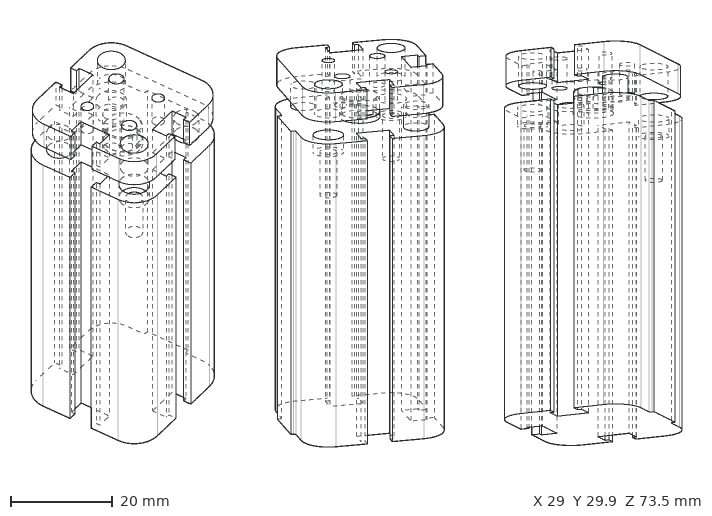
import cadquery as cq

total_height = 73.5
housing_width = 29.0
plate_width = 28.5
housing_height = 63.0
plate_thickness = 6.0
plate_bottom = total_height - plate_thickness

corner_offset = 9.0

slot_opening_width = 5.1
slot_inner_width = 6.75
slot_floor_offset = 9.5
slot_lip_offset = 12.8

rib_width = 9.7
rib_height = 0.95
rib_foot_radius = 0.45

screw_diameter = 3.4
counterbore_diameter = 6.0
counterbore_depth = 3.5
screw_hole_depth = 12.5
access_diameter = 5.5

rod_diameter = 8.0
rod_end_diameter = 7.8
rod_shoulder_height = 1.0
rod_chamfer = 0.2
flats_width = 7.0
flats_bottom = housing_height + 1.5
guide_diameter = 5.0

mounting_offset = 5.0
dowel_hole_diameter = 3.0
thread_hole_diameter = 2.5

guide_points = [(-corner_offset, -corner_offset), (corner_offset, corner_offset)]
screw_points = [(-corner_offset, corner_offset), (corner_offset, -corner_offset)]
dowel_points = [(-mounting_offset, mounting_offset), (mounting_offset, -mounting_offset)]
thread_points = [(-mounting_offset, -mounting_offset), (mounting_offset, mounting_offset)]


def cylinders(points, diameter, bottom, height):
    """Upright cylinders of one size standing at the given points."""
    return cq.Workplane("XY", origin=(0, 0, bottom)).pushPoints(points).circle(diameter / 2).extrude(height)


def t_slot(bottom, height):
    """Volume of a T-slot that opens toward -Y."""
    outer = housing_width / 2
    neck = cq.Workplane("XY").box(
        slot_opening_width, outer - slot_floor_offset, height, centered=(True, False, False)
    )
    chamber = cq.Workplane("XY").box(
        slot_inner_width, slot_lip_offset - slot_floor_offset, height, centered=(True, False, False)
    )
    neck = neck.translate((0, -outer, bottom))
    chamber = chamber.translate((0, -slot_lip_offset, bottom))
    return neck.union(chamber)


def slotted_block(width, bottom, height):
    """Square block with rounded corners and a T-slot in three of its sides."""
    block = cq.Workplane("XY", origin=(0, 0, bottom)).rect(width, width).extrude(height)
    block = block.edges("|Z").fillet(width / 2 - corner_offset)
    for angle in (-90, 0, 90):
        block = block.cut(t_slot(bottom, height).rotate((0, 0, 0), (0, 0, 1), angle))
    return block


def side_rib():
    """Rib along the full height of the +Y side, blended into the side by concave foot radii."""
    side = housing_width / 2
    half_width = rib_width / 2
    half_base = half_width + rib_foot_radius
    foot_top = side + rib_foot_radius
    return (
        cq.Workplane("XY")
        .moveTo(-half_base, slot_floor_offset)
        .lineTo(-half_base, side)
        .radiusArc((-half_width, foot_top), -rib_foot_radius)
        .lineTo(-half_width, side + rib_height)
        .lineTo(half_width, side + rib_height)
        .lineTo(half_width, foot_top)
        .radiusArc((half_base, side), -rib_foot_radius)
        .lineTo(half_base, slot_floor_offset)
        .close()
        .extrude(housing_height)
    )


def make_housing():
    """Profiled cylinder housing with two counterbored blind screw holes."""
    body = slotted_block(housing_width, 0, housing_height).union(side_rib())
    screw_hole_bottom = housing_height - screw_hole_depth
    body = body.cut(cylinders(screw_points, screw_diameter, screw_hole_bottom, screw_hole_depth))
    counterbore_bottom = housing_height - counterbore_depth
    return body.cut(cylinders(screw_points, counterbore_diameter, counterbore_bottom, counterbore_depth))


def piston_rod():
    """Stepped rod between housing and plate, with two wrench flats facing -X and +X."""
    shoulder_top = housing_height + rod_shoulder_height
    shoulder = cylinders([(0, 0)], rod_diameter, housing_height, rod_shoulder_height)
    rod_end = cylinders([(0, 0)], rod_end_diameter, shoulder_top, plate_bottom - shoulder_top)
    rod_end = rod_end.faces(">Z").chamfer(rod_chamfer)
    flats_height = plate_bottom - flats_bottom
    ring = cq.Workplane("XY", origin=(0, 0, flats_bottom)).rect(rod_diameter * 2, rod_diameter)
    ring = ring.rect(flats_width, rod_diameter).extrude(flats_height)
    return shoulder.union(rod_end.cut(ring))


def make_yoke():
    """Front plate with its piston rod and two guide rods, moving as one body."""
    plate = slotted_block(plate_width, plate_bottom, plate_thickness)
    plate = plate.cut(cylinders(screw_points, access_diameter, plate_bottom, plate_thickness))
    plate = plate.cut(cylinders(dowel_points, dowel_hole_diameter, plate_bottom, plate_thickness))
    plate = plate.cut(cylinders(thread_points, thread_hole_diameter, plate_bottom, plate_thickness))
    guides = cylinders(guide_points, guide_diameter, housing_height, plate_bottom - housing_height)
    return plate.union(piston_rod()).union(guides)


housing = make_housing()
yoke = make_yoke()

result = cq.Compound.makeCompound([housing.val(), yoke.val()])